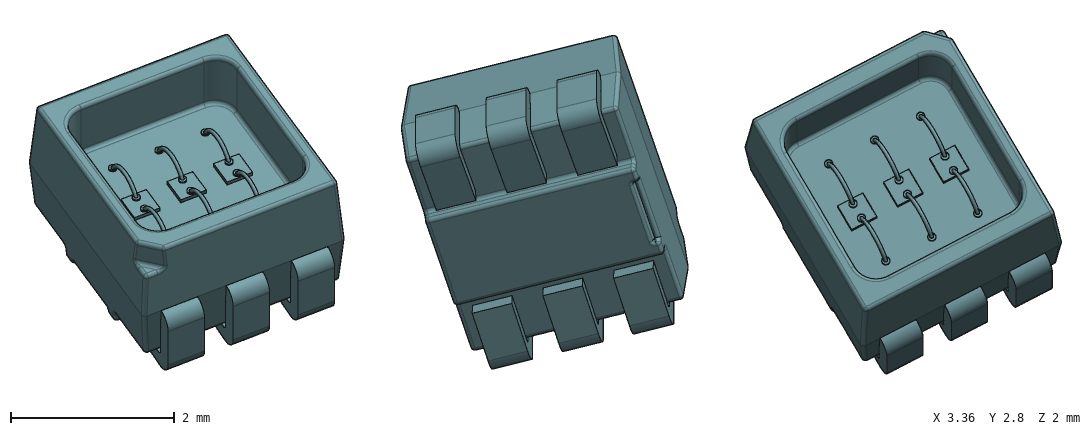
import cadquery as cq
import math

OVERALL_LENGTH = 3.36

BODY_LENGTH = 3.0
BODY_WIDTH = 2.8
TOP_HEIGHT = 1.0
UNDERSIDE_DEPTH = 0.732
DRAFT_ANGLE = 4.0
EDGE_RADIUS = 0.05
TOLERANCE = 0.0005

PAD_LENGTH = 1.305
PAD_DEPTH = 0.91
PAD_FRONT_Y = PAD_DEPTH * math.tan(math.radians(DRAFT_ANGLE)) - BODY_WIDTH / 2
RECESS_LENGTH = 0.855
RECESS_HEIGHT = 0.075
RECESS_CEILING_Z = RECESS_HEIGHT - PAD_DEPTH
RECESS_REACH = 0.06
RECESS_WALL_ANGLE = 30.0

NOTCH_DEPTH = 0.35
NOTCH_CORNER_SUM = 2.513

CAVITY_SIZE = 2.298
CAVITY_DEPTH = 0.795
CAVITY_CORNER_RADIUS = 0.3
FLOOR_Z = TOP_HEIGHT - CAVITY_DEPTH

LEAD_BOTTOM = -0.998
LEAD_WIDTH = 0.505
LEAD_PITCH = 0.9
LEAD_THICKNESS = 0.2
LEAD_OUTER_RADIUS = 0.2
LEAD_INNER_RADIUS = 0.05
LEAD_ROOT_X = 1.345
FOOT_TIP_X = 0.775
FOOT_ANGLE = 4.0

CHIP_SIZE = 0.353
CHIP_HEIGHT = 0.05
CHIP_PITCH = 0.642
CHIP_BOND_X = 0.108
FLOOR_BOND_X = 0.722
BOND_DIAMETER = 0.1
BOND_HEIGHT = 0.02
BOND_EMBED = 0.017
WIRE_DIAMETER = 0.05
WIRE_RISE = 0.168


def body_half(height):
    """Drafted block from the parting plane; a negative height goes downwards."""
    return (
        cq.Workplane("XY")
        .rect(BODY_LENGTH, BODY_WIDTH)
        .extrude(height, taper=DRAFT_ANGLE)
    )


def off_parting_plane(edge):
    """True for an edge that does not lie in the parting plane."""
    box = edge.BoundingBox()
    return max(abs(box.zmin), abs(box.zmax)) > TOLERANCE


def make_upper_body():
    half = body_half(TOP_HEIGHT)
    far_x = BODY_LENGTH
    far_y = BODY_WIDTH
    notch = (
        cq.Workplane("XY", origin=(0, 0, TOP_HEIGHT - NOTCH_DEPTH))
        .polyline([
            (far_x, far_x - NOTCH_CORNER_SUM),
            (NOTCH_CORNER_SUM - far_y, -far_y),
            (far_x, -far_y),
        ])
        .close()
        .extrude(2 * NOTCH_DEPTH)
    )
    return half.cut(notch).edges().filter(off_parting_plane).fillet(EDGE_RADIUS)


def make_cavity():
    wall = (
        cq.Workplane("XY", origin=(0, 0, FLOOR_Z))
        .rect(CAVITY_SIZE, CAVITY_SIZE)
        .extrude(CAVITY_DEPTH)
        .edges("|Z")
        .fillet(CAVITY_CORNER_RADIUS)
    )
    return wall.faces("<Z").edges().fillet(EDGE_RADIUS)


def make_recess():
    """Cutter for the recess in the pad's front edge; it opens downwards with sloped walls."""
    return (
        cq.Workplane("XY", origin=(0, PAD_FRONT_Y, RECESS_CEILING_Z))
        .rect(RECESS_LENGTH, 2 * RECESS_REACH)
        .extrude(-2 * RECESS_HEIGHT, taper=-RECESS_WALL_ANGLE)
    )


def is_recess_inside_corner(edge):
    """True for the sharp inside corners that run back from the front face into the recess."""
    box = edge.BoundingBox()
    touches_ceiling = abs(box.zmax - RECESS_CEILING_Z) < TOLERANCE
    return touches_ceiling and box.ymax > PAD_FRONT_Y + RECESS_REACH / 2


def make_lower_body():
    half = body_half(-PAD_DEPTH)
    side_length = BODY_LENGTH
    for side in (-1, 1):
        side_x = side * (PAD_LENGTH + side_length) / 2
        side_cut = (
            cq.Workplane("XY", origin=(side_x, 0, -UNDERSIDE_DEPTH))
            .rect(side_length, 2 * BODY_WIDTH)
            .extrude(-PAD_DEPTH)
        )
        half = half.cut(side_cut)
    half = half.cut(make_recess())
    return (
        half.edges()
        .filter(lambda edge: off_parting_plane(edge) and not is_recess_inside_corner(edge))
        .fillet(EDGE_RADIUS)
    )


def make_body():
    body = make_upper_body().union(make_lower_body()).cut(make_cavity())
    rim_limit = CAVITY_SIZE / 2 + TOLERANCE
    return (
        body.faces(">Z")
        .edges()
        .filter(lambda edge: max(abs(edge.Center().x), abs(edge.Center().y)) < rim_limit)
        .fillet(EDGE_RADIUS)
    )


def make_lead():
    """One +X lead: out of the body at the parting plane, down, and back under the body."""
    outer_x = OVERALL_LENGTH / 2
    inner_x = outer_x - LEAD_THICKNESS
    tilt = math.radians(FOOT_ANGLE)
    arc_centre_z = LEAD_BOTTOM + LEAD_OUTER_RADIUS
    corner_z = arc_centre_z - LEAD_OUTER_RADIUS * (1 + math.sin(tilt)) / math.cos(tilt)
    tip_z = corner_z + (outer_x - FOOT_TIP_X) * math.tan(tilt)
    upper_tip_x = FOOT_TIP_X + LEAD_THICKNESS * math.sin(tilt)
    upper_tip_z = tip_z + LEAD_THICKNESS * math.cos(tilt)
    inner_corner_z = upper_tip_z - (inner_x - upper_tip_x) * math.tan(tilt)
    sharp_lead = (
        cq.Workplane("XZ")
        .polyline([
            (LEAD_ROOT_X, 0),
            (outer_x, 0),
            (outer_x, corner_z),
            (FOOT_TIP_X, tip_z),
            (upper_tip_x, upper_tip_z),
            (inner_x, inner_corner_z),
            (inner_x, -LEAD_THICKNESS),
            (LEAD_ROOT_X, -LEAD_THICKNESS),
        ])
        .close()
        .extrude(LEAD_WIDTH / 2, both=True)
    )
    bent_lead = sharp_lead.edges("|Y").edges(">X").fillet(LEAD_OUTER_RADIUS)
    inner_corner = cq.selectors.NearestToPointSelector((inner_x, 0, inner_corner_z))
    return bent_lead.edges("|Y").edges(inner_corner).fillet(LEAD_INNER_RADIUS)


def make_bond(x, z):
    """Round bond foot, sunk slightly so that it fuses with the surface below it."""
    return (
        cq.Workplane("XY", origin=(x, 0, z - BOND_EMBED))
        .circle(BOND_DIAMETER / 2)
        .extrude(BOND_EMBED + BOND_HEIGHT)
    )


def make_wire():
    """Arched bond wire from the chip to the cavity floor on the +X side, with its bond feet."""
    chip_top = FLOOR_Z + CHIP_HEIGHT
    middle = ((CHIP_BOND_X + FLOOR_BOND_X) / 2, chip_top + WIRE_RISE)
    arch = cq.Workplane("XZ").moveTo(CHIP_BOND_X, chip_top).threePointArc(middle, (FLOOR_BOND_X, FLOOR_Z))
    start_direction = arch.val().tangentAt(0)
    section = cq.Plane(origin=(CHIP_BOND_X, 0, chip_top), xDir=(0, 1, 0), normal=start_direction)
    wire = cq.Workplane(section).circle(WIRE_DIAMETER / 2).sweep(arch)
    return wire.union(make_bond(CHIP_BOND_X, chip_top)).union(make_bond(FLOOR_BOND_X, FLOOR_Z))


def make_chip():
    chip = (
        cq.Workplane("XY", origin=(0, 0, FLOOR_Z))
        .rect(CHIP_SIZE, CHIP_SIZE)
        .extrude(CHIP_HEIGHT)
    )
    wire = make_wire()
    return chip.union(wire).union(wire.mirror("YZ"))


result = make_body()
right_lead = make_lead()
left_lead = right_lead.mirror("YZ")
wired_chip = make_chip()
for row in (-1, 0, 1):
    lead_offset = (0, row * LEAD_PITCH, 0)
    result = result.union(right_lead.translate(lead_offset))
    result = result.union(left_lead.translate(lead_offset))
    result = result.union(wired_chip.translate((0, row * CHIP_PITCH, 0)))